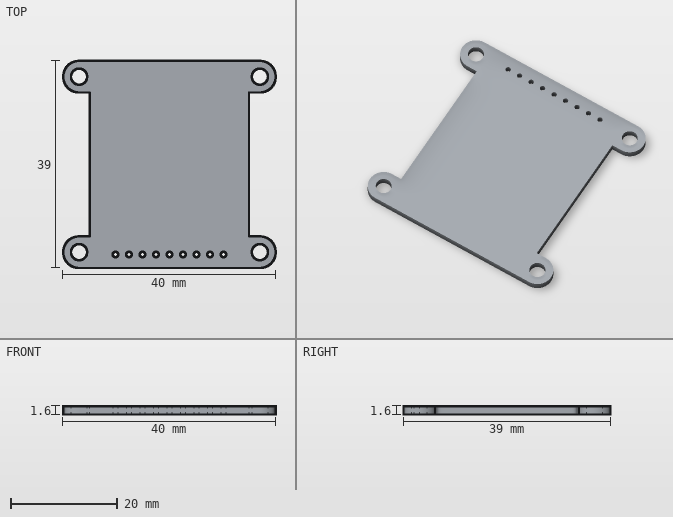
import cadquery as cq

length_x = 40.0
length_y = 39.0
thickness = 1.6
body_width = 30.0
ear_radius = 3.0
mount_hole_diameter = 3.0

pin_count = 9
pin_row_span = 20.3
pin_hole_diameter = 1.0
pin_edge_distance = 2.55

mount_spacing_x = length_x - 2 * ear_radius
mount_spacing_y = length_y - 2 * ear_radius
pin_pitch = pin_row_span / (pin_count - 1)
pin_row_y = pin_edge_distance - length_y / 2


def end_strip(center_y):
    """Full-width strip whose rounded ends form two mounting ears."""
    return (
        cq.Workplane("XY")
        .center(0, center_y)
        .slot2D(length_x, 2 * ear_radius)
        .extrude(thickness)
    )


def board():
    """Rectangular board with a strip of ears at each Y end."""
    body = cq.Workplane("XY").rect(body_width, length_y).extrude(thickness)
    for side in (-1, 1):
        body = body.union(end_strip(side * mount_spacing_y / 2))
    return body


def mount_holes():
    """Through holes concentric with the four ears."""
    return (
        cq.Workplane("XY")
        .rect(mount_spacing_x, mount_spacing_y, forConstruction=True)
        .vertices()
        .circle(mount_hole_diameter / 2)
        .extrude(thickness)
    )


def pin_holes():
    """Evenly pitched row of through holes, centred in X."""
    return (
        cq.Workplane("XY")
        .center(0, pin_row_y)
        .rarray(pin_pitch, 0.4, pin_count, 1)
        .circle(pin_hole_diameter / 2)
        .extrude(thickness)
    )


result = board().cut(mount_holes()).cut(pin_holes())